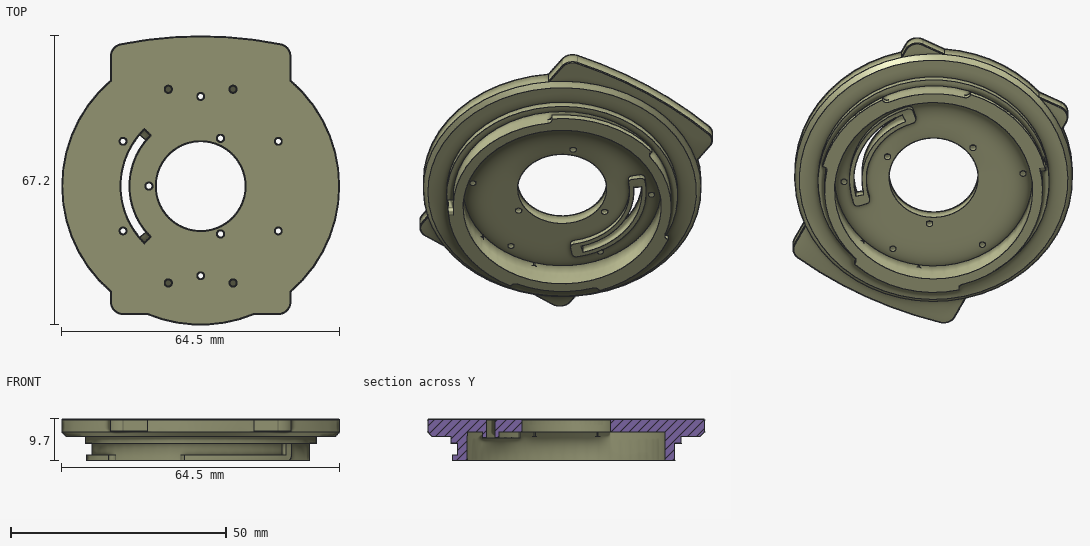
import cadquery as cq
import math

total_height = 9.7
total_length = 67.15
disc_diameter = 64.5
disc_radius = disc_diameter / 2
edge_chamfer = 0.2

plate_thickness = 3.0
ear_half_width = 20.95
ear_corner_radius = 2.95
front_ear_reach = 29.8
rear_ear_reach = total_length - disc_radius
rear_arc_radius = 94.0
disc_bevel = 1.1

disc_thickness = plate_thickness + disc_bevel
flange_diameter = 53.7
flange_thickness = 1.55
barrel_diameter = 50.6
cavity_diameter = 46.0
bore_diameter = 20.7

tab_radius = 26.5
tab_thickness = 1.35
tab_relief_radius = 1.1
plain_tab_spans = ((50.0, 106.9), (166.7, 216.3))
stop_tab_start = 261.8
stop_tab_end = 322.6
stop_start = 318.2
stop_rounding = 1.3

outer_hole_diameter = 1.4
outer_hole_circle = 20.8
outer_hole_angles = range(30, 360, 60)
inner_hole_diameter = 1.5
inner_hole_circle = 12.0
inner_hole_angles = (67.5, 180.0, -67.5)
blind_hole_diameter = 1.5
blind_hole_depth = 4.0
blind_hole_x = 7.5
blind_hole_y = 22.5

slot_inner_radius = 16.65
slot_outer_radius = 18.5
slot_half_angle = 45.0
slot_through_half_angle = 40.0
slot_ledge_depth = 2.2
slot_rim_wall = 1.0
slot_rim_height = 1.35

plate_bottom = total_height - plate_thickness
disc_bottom = total_height - disc_thickness
flange_bottom = disc_bottom - flange_thickness
slot_rim_bottom = plate_bottom - slot_rim_height
barrel_radius = barrel_diameter / 2
tab_root_radius = (barrel_diameter + cavity_diameter) / 4


def polar(radius, angle):
    """Point at a radius and an angle in degrees."""
    turn = math.radians(angle)
    return (radius * math.cos(turn), radius * math.sin(turn))


def cylinder(diameter, bottom, top):
    return cq.Workplane("XY").workplane(offset=bottom).circle(diameter / 2).extrude(top - bottom)


def ring_sector(inner_radius, outer_radius, start, end, bottom, top):
    """Piece of a ring between two angles in degrees."""
    middle = (start + end) / 2
    return (
        cq.Workplane("XY").workplane(offset=bottom)
        .moveTo(*polar(inner_radius, start))
        .lineTo(*polar(outer_radius, start))
        .threePointArc(polar(outer_radius, middle), polar(outer_radius, end))
        .lineTo(*polar(inner_radius, end))
        .threePointArc(polar(inner_radius, middle), polar(inner_radius, start))
        .close()
        .extrude(top - bottom)
    )


def make_plate():
    arc_drop = rear_arc_radius - math.sqrt(rear_arc_radius**2 - ear_half_width**2)
    rear_corner_y = rear_ear_reach - arc_drop
    ears = (
        cq.Workplane("XY").workplane(offset=plate_bottom)
        .moveTo(-ear_half_width, -front_ear_reach)
        .lineTo(ear_half_width, -front_ear_reach)
        .lineTo(ear_half_width, rear_corner_y)
        .threePointArc((0, rear_ear_reach), (-ear_half_width, rear_corner_y))
        .close()
        .extrude(plate_thickness)
        .edges("|Z").fillet(ear_corner_radius)
    )
    plate = ears.union(cylinder(disc_diameter, plate_bottom, total_height))
    return plate.faces("<Z").chamfer(edge_chamfer)


def make_tab(start, end):
    """Bayonet tab reaching from inside the barrel wall out to the tab radius."""
    return ring_sector(tab_root_radius, tab_radius, start, end, 0, tab_thickness)


def make_stop_tab():
    """Tab with a full-height stop at its last angle, rounded at the lower outer end."""
    stop = ring_sector(tab_root_radius, tab_radius, stop_start, stop_tab_end, 0, flange_bottom)
    lower_end = (*polar((tab_root_radius + tab_radius) / 2, stop_tab_end), 0)
    return (
        make_tab(stop_tab_start, stop_tab_end).union(stop)
        .edges(cq.selectors.NearestToPointSelector(lower_end)).fillet(stop_rounding)
    )


def make_barrel():
    """Barrel with its tabs, whose free ends run into the wall with a concave radius."""
    barrel = cylinder(barrel_diameter, 0, flange_bottom).union(make_stop_tab())
    free_ends = [stop_tab_start]
    for start, end in plain_tab_spans:
        barrel = barrel.union(make_tab(start, end))
        free_ends += [start, end]
    for angle in free_ends:
        inner_corner = (*polar(barrel_radius, angle), tab_thickness / 2)
        corner_edge = cq.selectors.NearestToPointSelector(inner_corner)
        barrel = barrel.edges("|Z").edges(corner_edge).fillet(tab_relief_radius)
    return barrel


def make_collar():
    disc = cylinder(disc_diameter, disc_bottom, plate_bottom + edge_chamfer)
    disc = disc.faces("<Z").chamfer(disc_bevel)
    flange = cylinder(flange_diameter, flange_bottom, disc_bottom)
    return disc.union(flange).union(make_barrel())


def make_holes():
    top = cq.Workplane("XY").workplane(offset=total_height)
    outer_points = [polar(outer_hole_circle, angle) for angle in outer_hole_angles]
    inner_points = [polar(inner_hole_circle, angle) for angle in inner_hole_angles]
    blind_points = [(x, y) for x in (-blind_hole_x, blind_hole_x) for y in (-blind_hole_y, blind_hole_y)]
    outer = top.pushPoints(outer_points).circle(outer_hole_diameter / 2).extrude(-plate_thickness)
    inner = top.pushPoints(inner_points).circle(inner_hole_diameter / 2).extrude(-plate_thickness)
    blind = top.pushPoints(blind_points).circle(blind_hole_diameter / 2).extrude(-blind_hole_depth)
    return outer.union(inner).union(blind)


def slot_sector(half_angle, bottom, top):
    return ring_sector(
        slot_inner_radius, slot_outer_radius, 180 - half_angle, 180 + half_angle, bottom, top
    )


def make_slot():
    """Curved slot that is open through the plate and rim except for a ledge at each end."""
    ledge_level = total_height - slot_ledge_depth
    full_slot = slot_sector(slot_half_angle, ledge_level, total_height)
    return full_slot.union(slot_sector(slot_through_half_angle, slot_rim_bottom, total_height))


def make_slot_rim():
    """Thickened band under the plate that carries the slot walls further down."""
    rim = slot_sector(slot_half_angle, slot_rim_bottom, plate_bottom)
    return rim.faces("<Z").wires().toPending().offset2D(slot_rim_wall).extrude(slot_rim_height)


body = make_plate().union(make_collar())
body = body.cut(cylinder(cavity_diameter, 0, plate_bottom))
body = body.union(make_slot_rim())
body = body.cut(cylinder(bore_diameter, plate_bottom, total_height))
body = body.cut(make_holes()).cut(make_slot())

result = body.faces(">Z").chamfer(edge_chamfer)